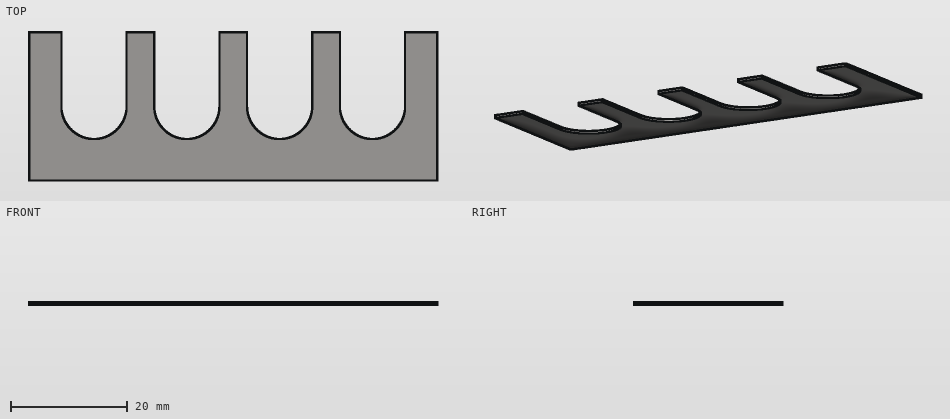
import cadquery as cq

length = 69.85
width = 25.4
thickness = 0.5

slot_count = 4
slot_pitch = 15.875
slot_width = 11.1125
slot_radius = slot_width / 2
slot_straight_depth = width / 2


def make_plate():
    """Flat rectangle centred on X and Y, resting on Z = 0."""
    return cq.Workplane("XY").box(length, width, thickness, centered=(True, True, False))


def make_slot(center_x):
    """Cutter for one U-shaped slot through the full thickness."""
    open_edge_y = width / 2
    round_center_y = open_edge_y - slot_straight_depth
    return (
        cq.Workplane("XY")
        .moveTo(center_x - slot_radius, open_edge_y)
        .lineTo(center_x - slot_radius, round_center_y)
        .threePointArc(
            (center_x, round_center_y - slot_radius),
            (center_x + slot_radius, round_center_y),
        )
        .lineTo(center_x + slot_radius, open_edge_y)
        .close()
        .extrude(thickness)
    )


result = make_plate()
first_slot_x = -slot_pitch * (slot_count - 1) / 2
for index in range(slot_count):
    result = result.cut(make_slot(first_slot_x + index * slot_pitch))